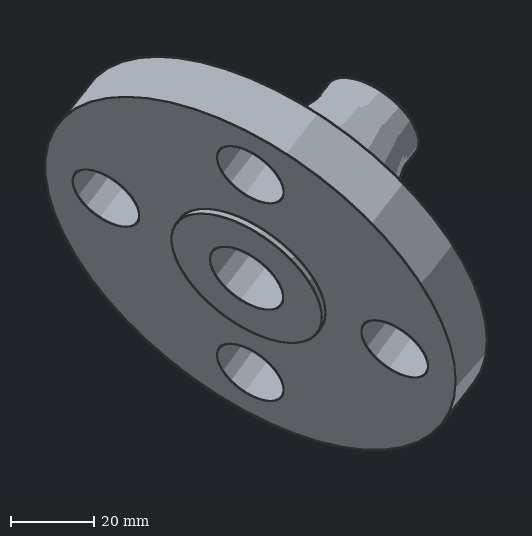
import cadquery as cq

flange_diameter = 117.3
flange_thickness = 14.1
raised_face_diameter = 42.9
raised_face_height = 1.6
bore_diameter = 20.9

bolt_count = 4
bolt_circle_diameter = 82.5
bolt_hole_diameter = 19.0

overall_length = 57.1
neck_end_diameter = 26.7
neck_straight_length = 7.0
hub_base_diameter = 47.6
hub_fillet_radius = 5.9
bevel_length = 1.0
bevel_depth = 1.4
neck_blend_radius = 5.9

flange_back = raised_face_height + flange_thickness
taper_end = overall_length - neck_straight_length


def tapered_hub():
    """Straight neck, conical hub and flange disc, turned about the Y axis."""
    neck_radius = neck_end_diameter / 2
    profile = (
        cq.Workplane("XY")
        .moveTo(0, 0)
        .lineTo(raised_face_diameter / 2, 0)
        .lineTo(raised_face_diameter / 2, raised_face_height)
        .lineTo(flange_diameter / 2, raised_face_height)
        .lineTo(flange_diameter / 2, flange_back)
        .lineTo(hub_base_diameter / 2, flange_back)
        .lineTo(neck_radius, taper_end)
        .lineTo(neck_radius, overall_length - bevel_length)
        .lineTo(neck_radius - bevel_depth, overall_length)
        .lineTo(0, overall_length)
        .close()
    )
    return profile.revolve(360, (0, 0, 0), (0, 1, 0))


def circle_at(radius, height):
    """Select the circular edge of the given radius at the given height along Y."""
    margin = 0.1
    return cq.selectors.BoxSelector(
        (-radius - margin, height - margin, -radius - margin),
        (radius + margin, height + margin, radius + margin),
        boundingbox=True,
    )


def through_hole(diameter):
    """Cylinder along Y, long enough to pass through the whole part."""
    return cq.Workplane("XZ").circle(diameter / 2).extrude(-overall_length)


body = tapered_hub()
body = body.edges(circle_at(hub_base_diameter / 2, flange_back)).fillet(hub_fillet_radius)
body = body.edges(circle_at(neck_end_diameter / 2, taper_end)).fillet(neck_blend_radius)

body = body.cut(through_hole(bore_diameter))
bolt_hole = through_hole(bolt_hole_diameter).translate((bolt_circle_diameter / 2, 0, 0))
for index in range(bolt_count):
    angle = index * 360 / bolt_count
    body = body.cut(bolt_hole.rotate((0, 0, 0), (0, 1, 0), angle))

result = body